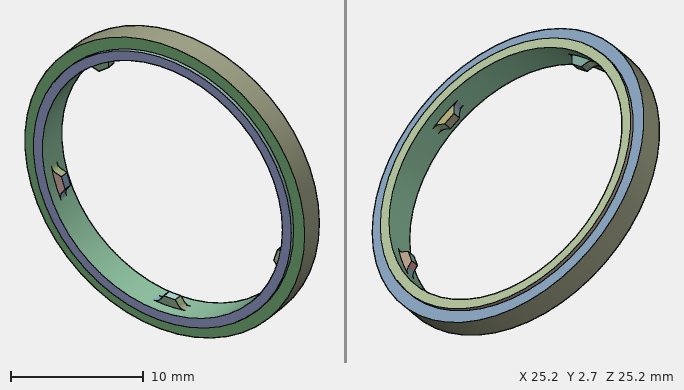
import cadquery as cq
import math

outer_diameter = 25.2
shoulder_diameter = 23.2
bore_diameter = 21.6
ring_width = 2.7
rim_width = 2.05

tab_count = 5
tab_height = 0.75
tab_top_width = 1.05
tab_thickness = 0.75
flank_angle = math.radians(54)
foot_radius = 0.6
tab_embed = 0.25


def extrude_centred(outline, width):
    """Extrude an XZ outline along Y, centred on the XZ plane."""
    return outline.extrude(width).translate((0, width / 2, 0))


def cylinder(diameter, width):
    return extrude_centred(cq.Workplane("XZ").circle(diameter / 2), width)


def bottom_tab():
    """Tab at the lowest point of the bore, flared into the wall by tangent foot rounds."""
    bore_radius = bore_diameter / 2
    half_top = tab_top_width / 2
    top_z = -bore_radius + tab_height
    root_z = -bore_radius - tab_embed

    normal_x, normal_z = math.sin(flank_angle), math.cos(flank_angle)
    down_x, down_z = math.cos(flank_angle), -math.sin(flank_angle)

    centre_distance = bore_radius - foot_radius
    across = half_top * normal_x + top_z * normal_z + foot_radius
    along = math.sqrt(centre_distance**2 - across**2)
    centre_x = across * normal_x + along * down_x
    centre_z = across * normal_z + along * down_z

    start_x = centre_x - foot_radius * normal_x
    start_z = centre_z - foot_radius * normal_z
    end_x = centre_x * bore_radius / centre_distance
    end_z = centre_z * bore_radius / centre_distance
    start_angle = math.atan2(start_z - centre_z, start_x - centre_x)
    end_angle = math.atan2(end_z - centre_z, end_x - centre_x)
    mid_angle = (start_angle + end_angle) / 2
    mid_x = centre_x + foot_radius * math.cos(mid_angle)
    mid_z = centre_z + foot_radius * math.sin(mid_angle)

    outline = (
        cq.Workplane("XZ")
        .moveTo(-end_x, root_z)
        .lineTo(end_x, root_z)
        .lineTo(end_x, end_z)
        .threePointArc((mid_x, mid_z), (start_x, start_z))
        .lineTo(half_top, top_z)
        .lineTo(-half_top, top_z)
        .lineTo(-start_x, start_z)
        .threePointArc((-mid_x, mid_z), (-end_x, end_z))
        .close()
    )
    return extrude_centred(outline, tab_thickness)


rim = cylinder(outer_diameter, rim_width)
shoulder = cylinder(shoulder_diameter, ring_width)
result = rim.union(shoulder).cut(cylinder(bore_diameter, ring_width))

tab = bottom_tab()
for index in range(tab_count):
    angle = index * 360 / tab_count
    result = result.union(tab.rotate((0, 0, 0), (0, 1, 0), angle))